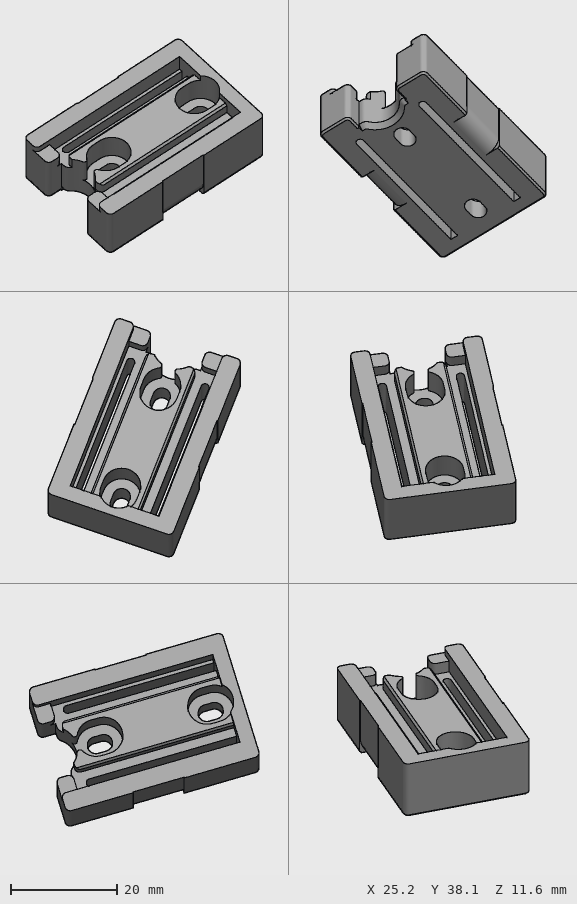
import cadquery as cq
import math

LENGTH = 38.15
WIDTH = 25.2
HEIGHT = 11.6
CORNER_RADIUS = 1.0
BASE_CHAMFER = 0.4
FRONT = -LENGTH / 2

EDGE_MARGIN = 0.05

CHANNEL_WIDTH = 17.85
BACK_WALL = 2.9
CHANNEL_FLOOR = 7.9
CHANNEL_BACK = LENGTH / 2 - BACK_WALL

GAP_WIDTH = 10.95
LUG_LENGTH = 3.28
LUG_TOP = 10.25
BAY_RADIUS = 4.6
BAY_DEPTH = 5.7
BAY_EDGE_RADIUS = 1.5
BAY_CHAMFER = 1.0
BEVEL_ANGLE = 45
GAP_BACK = FRONT + LUG_LENGTH

PAD_WIDTH = 9.9
PAD_TOP = LUG_TOP
PAD_FRONT = FRONT + 4.15
PAD_CHAMFER = 0.42
PAD_CORNER_RADIUS = 1.0

SCREW_WIDTH = 3.28
HEAD_WIDTH = 7.2
SCREW_TRAVEL = 1.53
HEAD_FLOOR = 4.95
BACK_SCREW_Y = 13.1
SCREW_SPACING = 21.8
FRONT_SCREW_Y = BACK_SCREW_Y - SCREW_SPACING
HEAD_OUTLET_WIDTH = 2.7
OUTLET_EDGE_RADIUS = 0.45

SIDE_SLOT_WIDTH = 1.55
SIDE_SLOT_X = 7.48
SIDE_SLOT_FRONT = -13.6

GRIP_LENGTH = 10.0
GRIP_Y = -0.9
GRIP_DEPTH = 0.15
GRIP_RADIUS = 2.95


def box(width, y_start, y_end, z_start, z_end):
    """Box centred on X, between the given Y and Z limits."""
    return (
        cq.Workplane("XY")
        .box(width, y_end - y_start, z_end - z_start, centered=(True, False, False))
        .translate((0, y_start, z_start))
    )


def obround(width, y, z_start):
    """Cutter elongated along Y, running from z_start up through the top."""
    return (
        cq.Workplane("XY", origin=(0, y, z_start))
        .slot2D(width + SCREW_TRAVEL, width, 90)
        .extrude(HEIGHT - z_start)
    )


def front_bay():
    """Round bay whose mouth blends into the flat back of the gap."""
    bay_y = FRONT + BAY_DEPTH - BAY_RADIUS
    edge_y = GAP_BACK + BAY_EDGE_RADIUS
    center_distance = BAY_RADIUS + BAY_EDGE_RADIUS
    edge_x = math.sqrt(center_distance**2 - (edge_y - bay_y) ** 2)
    blend_angle = math.atan2(edge_y - bay_y, edge_x)
    tangent_x = BAY_RADIUS * math.cos(blend_angle)
    tangent_y = bay_y + BAY_RADIUS * math.sin(blend_angle)
    middle_angle = (blend_angle + math.pi + 3 * math.pi / 2) / 2
    middle_x = edge_x + BAY_EDGE_RADIUS * math.cos(middle_angle)
    middle_y = edge_y + BAY_EDGE_RADIUS * math.sin(middle_angle)
    half_gap = GAP_WIDTH / 2
    return (
        cq.Workplane("XY")
        .moveTo(-half_gap, FRONT)
        .lineTo(-half_gap, GAP_BACK)
        .lineTo(-edge_x, GAP_BACK)
        .threePointArc((-middle_x, middle_y), (-tangent_x, tangent_y))
        .threePointArc((0, FRONT + BAY_DEPTH), (tangent_x, tangent_y))
        .threePointArc((middle_x, middle_y), (edge_x, GAP_BACK))
        .lineTo(half_gap, GAP_BACK)
        .lineTo(half_gap, FRONT)
        .close()
        .extrude(HEIGHT)
    )


def outer_body():
    """Block with the front opening, rounded uprights and chamfered underside."""
    body = box(WIDTH, FRONT, LENGTH / 2, 0, HEIGHT).cut(front_bay())
    body = body.edges("|Z and (<Y or >Y)").fillet(CORNER_RADIUS)
    bay_edges = cq.selectors.BoxSelector(
        (-GAP_WIDTH / 2 + EDGE_MARGIN, GAP_BACK - EDGE_MARGIN, -EDGE_MARGIN),
        (GAP_WIDTH / 2 - EDGE_MARGIN, FRONT + BAY_DEPTH + EDGE_MARGIN, EDGE_MARGIN),
    )
    base_edges = cq.StringSyntaxSelector("<Z")
    outer_edges = cq.selectors.SubtractSelector(base_edges, bay_edges)
    return body.edges(outer_edges).chamfer(BASE_CHAMFER)


def channel():
    """Cutter for the channel and the lower tops of the lugs."""
    lug_relief = box(CHANNEL_WIDTH, FRONT, CHANNEL_BACK, LUG_TOP, HEIGHT)
    for side in (-1, 1):
        corner_x = side * CHANNEL_WIDTH / 2
        flare = (
            cq.Workplane("XY", origin=(0, 0, LUG_TOP))
            .moveTo(corner_x, FRONT)
            .lineTo(corner_x + side * CORNER_RADIUS, FRONT)
            .radiusArc((corner_x, FRONT + CORNER_RADIUS), side * CORNER_RADIUS)
            .close()
            .extrude(HEIGHT - LUG_TOP)
        )
        lug_relief = lug_relief.union(flare)
    deep = box(CHANNEL_WIDTH, GAP_BACK, CHANNEL_BACK, CHANNEL_FLOOR, HEIGHT)
    for side in (-1, 1):
        corner_x = side * GAP_WIDTH / 2
        rounding = (
            cq.Workplane("XY", origin=(0, 0, CHANNEL_FLOOR))
            .moveTo(corner_x, GAP_BACK)
            .lineTo(corner_x + side * CORNER_RADIUS, GAP_BACK)
            .radiusArc((corner_x, GAP_BACK - CORNER_RADIUS), -side * CORNER_RADIUS)
            .close()
            .extrude(HEIGHT - CHANNEL_FLOOR)
        )
        deep = deep.union(rounding)
    return lug_relief.union(deep)


def center_pad():
    """Raised pad with chamfered long edges and rounded front corners."""
    pad = box(PAD_WIDTH, PAD_FRONT, CHANNEL_BACK, CHANNEL_FLOOR, PAD_TOP)
    plan = pad.edges("|Z and <Y").fillet(PAD_CORNER_RADIUS)
    beveled = pad.edges("|Y and >Z").chamfer(PAD_CHAMFER)
    return plan.intersect(beveled).cut(front_bay())


def screw_slots():
    """Both screw slots, with the front counterbore open to the bay."""
    slots = box(HEAD_OUTLET_WIDTH, GAP_BACK, FRONT_SCREW_Y, HEAD_FLOOR, HEIGHT)
    for y in (FRONT_SCREW_Y, BACK_SCREW_Y):
        slots = slots.union(obround(HEAD_WIDTH, y, HEAD_FLOOR))
        slots = slots.union(obround(SCREW_WIDTH, y, 0))
    return slots


def round_outlet(body):
    """Round the upright edges at both ends of the counterbore outlet."""
    outlet_edges = cq.selectors.BoxSelector(
        (-HEAD_OUTLET_WIDTH / 2 - EDGE_MARGIN, GAP_BACK, HEAD_FLOOR),
        (HEAD_OUTLET_WIDTH / 2 + EDGE_MARGIN, FRONT_SCREW_Y, HEIGHT),
    )
    return body.edges("|Z").edges(outlet_edges).fillet(OUTLET_EDGE_RADIUS)


def side_slot(side):
    """Through slot with a round front end and a square back end."""
    radius = SIDE_SLOT_WIDTH / 2
    round_y = SIDE_SLOT_FRONT + radius
    slot = box(SIDE_SLOT_WIDTH, round_y, CHANNEL_BACK, 0, HEIGHT)
    slot = slot.union(cq.Workplane("XY").center(0, round_y).circle(radius).extrude(HEIGHT))
    return slot.translate((side * SIDE_SLOT_X, 0, 0))


def side_grip():
    """Cutter for the grip on the +X side."""
    face_x = WIDTH / 2 - GRIP_DEPTH
    return (
        cq.Workplane("XZ", origin=(0, GRIP_Y + GRIP_LENGTH / 2, 0))
        .moveTo(face_x - GRIP_RADIUS, 0)
        .radiusArc((face_x, GRIP_RADIUS), -GRIP_RADIUS)
        .lineTo(face_x, HEIGHT)
        .lineTo(WIDTH / 2, HEIGHT)
        .lineTo(WIDTH / 2, 0)
        .close()
        .extrude(GRIP_LENGTH)
    )


def bay_chamfer():
    """Cutter that bevels the underside along the bay and the back of the gap."""
    reach = box(GAP_WIDTH, FRONT + CORNER_RADIUS, 0, 0, BAY_CHAMFER)
    profile = front_bay().faces("<Z").wires().val()
    wide = profile.offset2D(BAY_CHAMFER, "intersection")[0]
    bevel = cq.Workplane("XY").add(wide).toPending().extrude(BAY_CHAMFER, taper=BEVEL_ANGLE)
    return bevel.intersect(reach)


result = outer_body().cut(bay_chamfer()).cut(channel()).union(center_pad()).cut(screw_slots())
result = round_outlet(result)
for side in (-1, 1):
    result = result.cut(side_slot(side))
grip = side_grip()
result = result.cut(grip).cut(grip.mirror("YZ"))